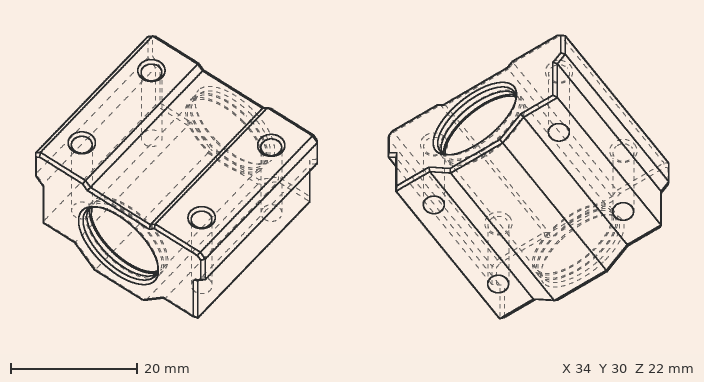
import cadquery as cq

width = 34.0
length = 30.0
height = 22.0

top_corner_chamfer = 1.0
relief_depth = 1.0
relief_floor_width = 12.0
flange_side_height = 6.5
flange_undercut = 1.5
shoulder_depth = 18.0
keel_bottom_width = 10.0
end_chamfer = 0.5

bore_diameter = 15.0
bore_axis_depth = 11.0
ring_groove_diameter = 15.7
ring_groove_width = 1.1
ring_groove_offset = 1.5

hole_diameter = 3.3
hole_spacing_x = 24.0
hole_spacing_y = 18.0
hole_chamfer = 0.5

top = height / 2
bottom = -height / 2
bore_z = top - bore_axis_depth
shoulder_z = top - shoulder_depth
keel_height = shoulder_z - bottom


def make_body():
    """Extrude the symmetric section along Y and chamfer both end outlines."""
    half_width = width / 2
    body_half_width = half_width - flange_undercut
    relief_half_width = relief_floor_width / 2
    keel_half_width = keel_bottom_width / 2
    flange_side_bottom = top - flange_side_height
    right_half = [
        (relief_half_width, top - relief_depth),
        (relief_half_width + relief_depth, top),
        (half_width - top_corner_chamfer, top),
        (half_width, top - top_corner_chamfer),
        (half_width, flange_side_bottom),
        (body_half_width, flange_side_bottom - flange_undercut),
        (body_half_width, shoulder_z),
        (keel_half_width + keel_height, shoulder_z),
        (keel_half_width, bottom),
    ]
    left_half = [(-x, z) for x, z in reversed(right_half)]
    body = (
        cq.Workplane("XZ")
        .polyline(right_half + left_half)
        .close()
        .extrude(length / 2, both=True)
    )
    return body.faces("<Y or >Y").chamfer(end_chamfer)


def make_bore_cutter():
    """Revolve the bore, its end chamfers and both ring grooves about the bore axis."""
    bore_radius = bore_diameter / 2
    groove_radius = ring_groove_diameter / 2
    end_y = length / 2
    groove_outer_y = end_y - ring_groove_offset
    groove_inner_y = groove_outer_y - ring_groove_width
    front_half = [
        (0, -end_y),
        (bore_radius + end_chamfer, -end_y),
        (bore_radius, -end_y + end_chamfer),
        (bore_radius, -groove_outer_y),
        (groove_radius, -groove_outer_y),
        (groove_radius, -groove_inner_y),
        (bore_radius, -groove_inner_y),
    ]
    back_half = [(radius, -y) for radius, y in reversed(front_half)]
    cutter = (
        cq.Workplane("XY")
        .polyline(front_half + back_half)
        .close()
        .revolve(360, (0, 0, 0), (0, 1, 0))
    )
    return cutter.translate((0, 0, bore_z))


def make_hole_cutters():
    """Four vertical through holes, chamfered at the flange top."""
    hole_radius = hole_diameter / 2
    profile = [
        (0, bottom),
        (hole_radius, bottom),
        (hole_radius, top - hole_chamfer),
        (hole_radius + hole_chamfer, top),
        (0, top),
    ]
    hole = cq.Workplane("XZ").polyline(profile).close().revolve(360, (0, 0, 0), (0, 1, 0))
    cutters = cq.Workplane("XY")
    for x in (-hole_spacing_x / 2, hole_spacing_x / 2):
        for y in (-hole_spacing_y / 2, hole_spacing_y / 2):
            cutters = cutters.add(hole.translate((x, y, 0)))
    return cutters.combine()


result = make_body().cut(make_bore_cutter()).cut(make_hole_cutters())